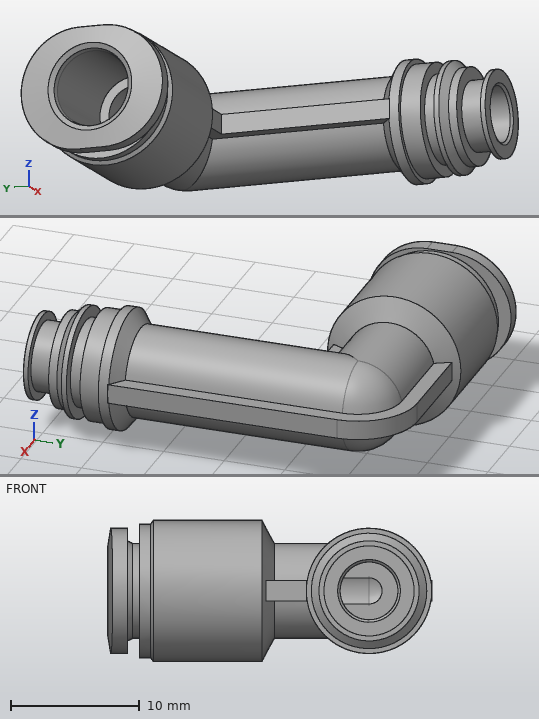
import cadquery as cq

mouth_x = -20.32
plug_end_y = -26.4
arm_radius = 7.4 / 2
flange_radius = 9.75 / 2
web_thickness = 1.58
web_end_y = -18.93
passage_radius = 4.5 / 2
plug_passage_end_y = -2.0

collar_width = 9.75
collar_length = 11.82
collar_thickness = 1.55
collar_face_rise = 0.4
mouth_radius = 7.0 / 2

socket_bore_radius = 6.0 / 2
socket_bore_depth = 9.7
mouth_chamfer_depth = 0.25
mouth_taper_radius = 6.2 / 2
mouth_taper_end = 0.7
neck_root_radius = 7.8 / 2
neck_taper_end = 1.95
ring_start = 2.45
ring_end = 3.33
ring_radius = 10.4 / 2
sleeve_start = 3.55
sleeve_end = 11.98
sleeve_taper_end = 12.95
sleeve_radius = 11.0 / 2

flange_taper_start = 17.93
flange_start = 18.85
flange_end = 19.7
shoulder_end = 21.35
shoulder_radius = 8.98 / 2
groove_radius = 7.15 / 2
lip_start = 22.48
lip_taper_start = 22.9
lip_taper_end = 23.48
band_end = 24.15
band_radius = 7.8 / 2
nose_radius = 5.65 / 2
rim_start = 26.0
rim_radius = 7.0 / 2
plug_mouth_radius = 4.88 / 2
plug_mouth_chamfer = 0.2


def socket_solid(profile):
    """Revolve (distance from mouth, radius) points about the socket axis."""
    ends = [(profile[0][0], 0)] + profile + [(profile[-1][0], 0)]
    points = [(mouth_x + distance, radius) for distance, radius in ends]
    return cq.Workplane("XY").polyline(points).close().revolve(360, (0, 0, 0), (1, 0, 0))


def plug_solid(profile):
    """Revolve (distance from the crossing, radius) points about the plug axis."""
    ends = [(profile[0][0], 0)] + profile + [(profile[-1][0], 0)]
    points = [(radius, -distance) for distance, radius in ends]
    return cq.Workplane("XY").polyline(points).close().revolve(360, (0, 0, 0), (0, 1, 0))


def make_collar():
    oblong = (
        cq.Workplane("YZ", origin=(mouth_x, 0, 0))
        .slot2D(collar_length, collar_width)
        .extrude(collar_thickness)
    )
    conical_face = socket_solid([
        (0, mouth_radius),
        (collar_face_rise, collar_length / 2),
        (collar_thickness, collar_length / 2),
    ])
    return oblong.intersect(conical_face)


def make_sleeve():
    return socket_solid([
        (collar_thickness, neck_root_radius),
        (neck_taper_end, arm_radius),
        (ring_start, arm_radius),
        (ring_start, ring_radius),
        (ring_end, ring_radius),
        (sleeve_start, sleeve_radius),
        (sleeve_end, sleeve_radius),
        (sleeve_taper_end, arm_radius),
    ])


def make_elbow():
    """Two mitred round arms with a spherical outer corner."""
    socket_arm = socket_solid([(sleeve_end, arm_radius), (-mouth_x, arm_radius)])
    plug_arm = plug_solid([(0, arm_radius), (flange_end, arm_radius)])
    return socket_arm.union(plug_arm).union(cq.Workplane("XY").sphere(arm_radius))


def make_web():
    """Flat L-shaped web on the midplane, rounded around the outer corner."""
    web_start_x = mouth_x + sleeve_end
    half_width = flange_radius
    diagonal = half_width * 0.5 ** 0.5
    return (
        cq.Workplane("XY", origin=(0, 0, -web_thickness / 2))
        .moveTo(web_start_x, half_width)
        .lineTo(0, half_width)
        .threePointArc((diagonal, diagonal), (half_width, 0))
        .lineTo(half_width, web_end_y)
        .lineTo(-half_width, web_end_y)
        .lineTo(-half_width, -half_width)
        .lineTo(web_start_x, -half_width)
        .close()
        .extrude(web_thickness)
    )


def make_plug():
    return plug_solid([
        (flange_taper_start, arm_radius),
        (flange_start, flange_radius),
        (flange_end, flange_radius),
        (flange_end, shoulder_radius),
        (shoulder_end, shoulder_radius),
        (shoulder_end, groove_radius),
        (lip_start, groove_radius),
        (lip_start, shoulder_radius),
        (lip_taper_start, shoulder_radius),
        (lip_taper_end, band_radius),
        (band_end, band_radius),
        (band_end, nose_radius),
        (rim_start, nose_radius),
        (rim_start, rim_radius),
        (-plug_end_y, rim_radius),
    ])


def make_passage():
    """Stepped socket bore with a spherical end, met by the flat-ended plug bore."""
    socket_bore = socket_solid([
        (0, mouth_radius),
        (mouth_chamfer_depth, mouth_taper_radius),
        (mouth_taper_end, socket_bore_radius),
        (socket_bore_depth, socket_bore_radius),
        (socket_bore_depth, passage_radius),
        (-mouth_x, passage_radius),
    ])
    bore_end = cq.Workplane("XY").sphere(passage_radius)
    plug_bore = plug_solid([
        (-plug_passage_end_y, passage_radius),
        (-plug_end_y - plug_mouth_chamfer, passage_radius),
        (-plug_end_y, plug_mouth_radius),
    ])
    return socket_bore.union(bore_end).union(plug_bore)


body = make_elbow().union(make_web()).union(make_plug())
body = body.union(make_sleeve()).union(make_collar())
result = body.cut(make_passage())